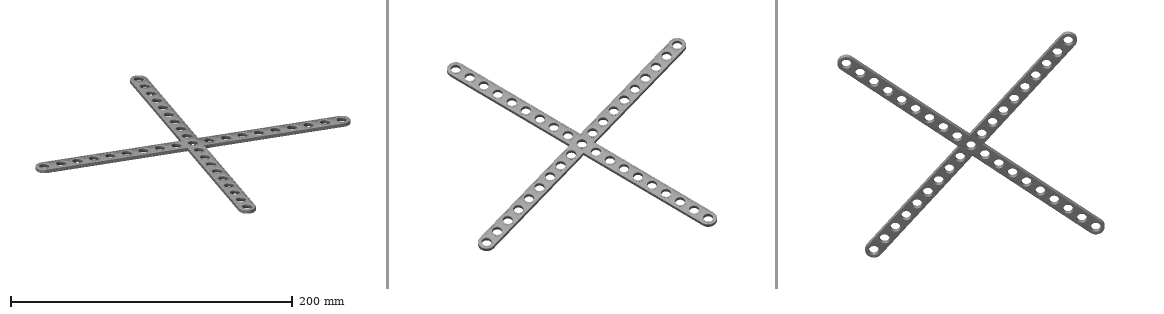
import cadquery as cq

overall_length = 237.5
holes_per_bar = 19
boss_diameter = 9.3
rim_width = 1.15
pocket_depth = 0.2
edge_chamfer = 0.3

pitch = overall_length / holes_per_bar
bar_width = pitch
thickness = pitch / 4
hole_diameter = boss_diameter - 2 * rim_width


def cross(height, inset=0.0):
    """Two crossed bars with round ends, standing on Z = 0 and inset from the full outline."""
    length = overall_length - 2 * inset
    width = bar_width - 2 * inset
    bar_x = cq.Workplane("XY").slot2D(length, width).extrude(height)
    bar_y = cq.Workplane("XY").slot2D(length, width, 90).extrude(height)
    return bar_x.union(bar_y)


def hole_positions():
    """Hole centres along both bars, with the shared centre hole listed once."""
    middle = holes_per_bar // 2
    offsets = [(i - middle) * pitch for i in range(holes_per_bar)]
    along_x = [(offset, 0) for offset in offsets]
    along_y = [(0, offset) for offset in offsets if offset != 0]
    return along_x + along_y


def top_pocket():
    """Material removed from the top face, leaving the outer rim and a round boss at each hole."""
    bosses = cq.Workplane("XY").pushPoints(hole_positions()).circle(boss_diameter / 2).extrude(pocket_depth)
    floor_height = thickness - pocket_depth
    return cross(pocket_depth, rim_width).cut(bosses).translate((0, 0, floor_height))


def hole_cutters():
    """Through-hole tools that flare at both ends to chamfer the hole edges."""
    radius = hole_diameter / 2
    flared_radius = radius + edge_chamfer
    cutter = (
        cq.Workplane("XZ")
        .moveTo(0, 0)
        .lineTo(flared_radius, 0)
        .lineTo(radius, edge_chamfer)
        .lineTo(radius, thickness - edge_chamfer)
        .lineTo(flared_radius, thickness)
        .lineTo(0, thickness)
        .close()
        .revolve(360, (0, 0, 0), (0, 1, 0))
        .val()
    )
    return (
        cq.Workplane("XY")
        .pushPoints(hole_positions())
        .eachpoint(lambda location: cutter.moved(location), combine=False)
    )


body = cross(thickness).faces("<Z or >Z").edges().chamfer(edge_chamfer)
result = body.cut(top_pocket()).cut(hole_cutters().combine()).solids()